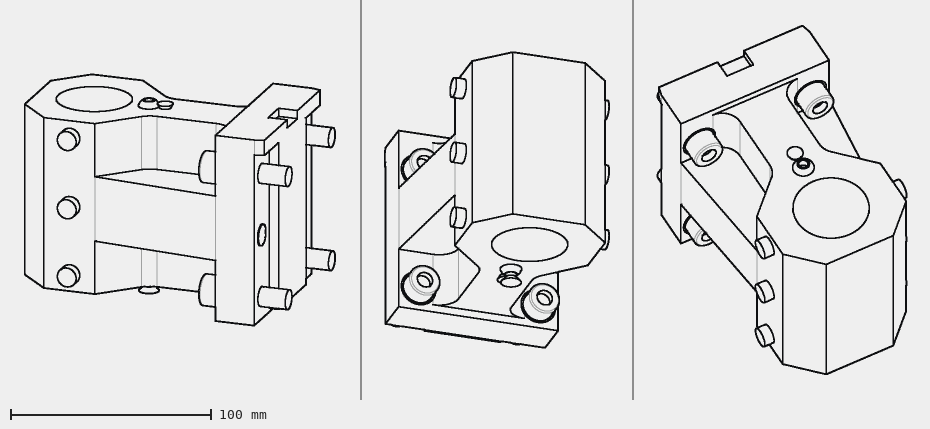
import cadquery as cq
import math


body_height = 90.0
body_half_width = 35.0
body_front = 30.0
front_corner_cut = 16.0
bore_diameter = 38.0
body_top = body_height / 2
body_bottom = -body_top

neck_half_width = 14.0
neck_start = 13.0
neck_fillet = 10.0
web_height = 34.0

flange_front = 79.5
flange_back = 100.0
flange_half_width = 42.0
flange_half_height = 49.0

back_step = 5.0
back_face = flange_back + back_step
lip_height = 8.0
lip_bottom = flange_half_height - lip_height
lip_side_angle = 15.0
ridge_width = 40.0
ridge_bottom = -47.0
notch_width = 15.0
notch_length = 10.0
notch_depth = 4.3
pad_diameter = 11.0
pad_height = 0.5

screw_diameter = 10.0
screw_length = 34.8
head_diameter = 16.0
head_length = 10.2
head_edge_fillet = 0.8
socket_diameter = 8.0
socket_depth = 4.0
screw_y = 31.5
upper_screw_z = 28.0
lower_screw_z = -37.0
recess_diameter = 18.0
recess_depth = 0.2
screw_seat = flange_front + recess_depth
screw_places = [(y, z) for y in (-screw_y, screw_y) for z in (lower_screw_z, upper_screw_z)]

peg_diameter = 10.0
peg_length = 5.2
peg_pitch = 36.0

ball_x = 29.0
ball_radius = 5.7
ball_sink = 1.8
ball_height = 3.0
ball_hole_diameter = 4.6
ball_hole_depth = 4.0
nozzle_neck_radius = 2.8
nozzle_neck_end = 4.8
nozzle_tip_radius = 5.1
nozzle_length = 7.5
plug_x = 37.6
plug_radius = 4.0
plug_root_radius = 2.9
plug_height = 2.0


def block(x_range, y_range, z_range):
    """Box between the given limits."""
    size = [high - low for low, high in (x_range, y_range, z_range)]
    return cq.Workplane("XY").box(*size, centered=False).translate((x_range[0], y_range[0], z_range[0]))


def rod_along_x(diameter, start, end, y, z):
    """Cylinder along +X between two X positions."""
    return cq.Workplane("YZ", origin=(start, y, z)).circle(diameter / 2).extrude(end - start)


def make_body_and_neck():
    """Octagonal front, narrowing at 45 degrees to a neck that flares into the flange."""
    neck_corner = neck_start + body_half_width - neck_half_width
    half = (
        cq.Workplane("XY", origin=(0, 0, body_bottom))
        .moveTo(-body_front, 0)
        .lineTo(-body_front, -body_half_width + front_corner_cut)
        .lineTo(-body_front + front_corner_cut, -body_half_width)
        .lineTo(neck_start, -body_half_width)
        .lineTo(neck_corner, -neck_half_width)
        .lineTo(flange_front - neck_fillet, -neck_half_width)
        .radiusArc((flange_front, -neck_half_width - neck_fillet), neck_fillet)
        .lineTo(flange_front, 0)
        .close()
        .extrude(body_height)
    )
    inner_corner = cq.selectors.NearestToPointSelector((neck_corner, -neck_half_width, 0))
    half = half.edges(inner_corner).fillet(neck_fillet)
    return half.union(half.mirror("XZ"))


def make_web():
    """Full-width web at mid height, widening from the body to the flange."""
    outline = [
        (neck_start, -body_half_width),
        (flange_front, -flange_half_width),
        (flange_front, flange_half_width),
        (neck_start, body_half_width),
    ]
    return cq.Workplane("XY", origin=(0, 0, -web_height / 2)).polyline(outline).close().extrude(web_height)


def make_flange():
    """Flange plate with the lip, ridge and pad on its back, and the notch in its top edge."""
    plate = block(
        (flange_front, flange_back),
        (-flange_half_width, flange_half_width),
        (-flange_half_height, flange_half_height),
    )
    lip_end_half_width = flange_half_width - back_step * math.tan(math.radians(lip_side_angle))
    lip_outline = [
        (flange_back, -flange_half_width),
        (back_face, -lip_end_half_width),
        (back_face, lip_end_half_width),
        (flange_back, flange_half_width),
    ]
    lip = cq.Workplane("XY", origin=(0, 0, lip_bottom)).polyline(lip_outline).close().extrude(lip_height)
    ridge = block(
        (flange_back, back_face),
        (-ridge_width / 2, ridge_width / 2),
        (ridge_bottom, lip_bottom),
    )
    pad_z = (upper_screw_z + lower_screw_z) / 2
    pad = rod_along_x(pad_diameter, flange_back, flange_back + pad_height, -screw_y, pad_z)
    notch = block(
        (back_face - notch_length, back_face),
        (-notch_width / 2, notch_width / 2),
        (flange_half_height - notch_depth, flange_half_height),
    )
    return plate.union(lip).union(ridge).union(pad).cut(notch)


def make_pegs():
    """Rows of three pegs standing out of both sides of the body."""
    reach = body_half_width + peg_length
    pegs = cq.Workplane("XZ", origin=(0, reach, 0))
    return pegs.rarray(1, peg_pitch, 1, 3).circle(peg_diameter / 2).extrude(2 * reach)


def make_ball(x, face_z, outward):
    """Ball standing out of a horizontal face, cut flat at its top."""
    centre_z = face_z - outward * ball_sink
    ball = cq.Workplane("XY").sphere(ball_radius).translate((x, 0, centre_z))
    cap_z = face_z + outward * ball_height
    z_range = sorted((cap_z, face_z - outward * ball_sink))
    return ball.intersect(block((x - ball_radius, x + ball_radius), (-ball_radius, ball_radius), z_range))


def make_cone(x, start_z, end_z, start_radius, end_radius):
    """Upright cone frustum, or a cylinder when both radii are equal."""
    outline = [(0, start_z), (start_radius, start_z), (end_radius, end_z), (0, end_z)]
    cone = cq.Workplane("XZ").polyline(outline).close().revolve(360, (0, 0, 0), (0, 1, 0))
    return cone.translate((x, 0, 0))


def make_top_ball():
    """Ball on the top face, and the blind hole sunk into it."""
    hole_top = body_top + ball_height
    hole_radius = ball_hole_diameter / 2
    hole = make_cone(ball_x, hole_top, hole_top - ball_hole_depth, hole_radius, hole_radius)
    return make_ball(ball_x, body_top, 1), hole


def make_bottom_nozzle():
    """Ball on the bottom face with a short neck and a flared tip."""
    ball = make_ball(ball_x, body_bottom, -1)
    neck_end_z = body_bottom - nozzle_neck_end
    tip_z = body_bottom - nozzle_length
    neck = make_cone(ball_x, body_bottom, neck_end_z, nozzle_neck_radius, nozzle_neck_radius)
    tip = make_cone(ball_x, neck_end_z, tip_z, nozzle_neck_radius, nozzle_tip_radius)
    return ball.union(neck).union(tip)


def make_plugs():
    """Flared plugs on the top and bottom faces."""
    top = make_cone(plug_x, body_top, body_top + plug_height, plug_root_radius, plug_radius)
    return top.union(top.mirror("XY"))


def make_housing():
    housing = make_body_and_neck().union(make_web()).union(make_flange()).union(make_pegs())
    ball, ball_hole = make_top_ball()
    housing = housing.union(ball).union(make_bottom_nozzle()).cut(ball_hole).union(make_plugs())
    bore = cq.Workplane("XY", origin=(0, 0, body_bottom)).circle(bore_diameter / 2).extrude(body_height)
    housing = housing.cut(bore)
    for y, z in screw_places:
        head_space = rod_along_x(recess_diameter, screw_seat - head_length, screw_seat, y, z)
        screw_hole = rod_along_x(screw_diameter, screw_seat, flange_back, y, z)
        housing = housing.cut(head_space).cut(screw_hole)
    return housing


def make_screw(y, z):
    """Socket head cap screw seated in its recess, pointing along +X."""
    head_front = screw_seat - head_length
    head = rod_along_x(head_diameter, head_front, screw_seat, y, z).edges("<X").fillet(head_edge_fillet)
    shank = rod_along_x(screw_diameter, screw_seat, screw_seat + screw_length, y, z)
    socket = rod_along_x(socket_diameter, head_front, head_front + socket_depth, y, z)
    return head.union(shank).cut(socket)


housing = make_housing()
screws = [make_screw(y, z) for y, z in screw_places]

result = cq.Compound.makeCompound([housing.val(), *[screw.val() for screw in screws]])